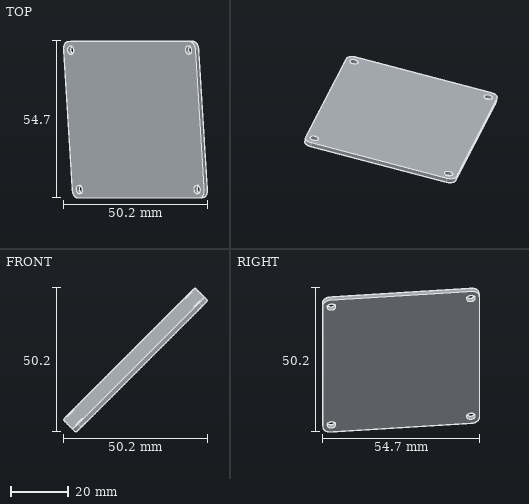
import cadquery as cq

width = 65.05
length = 54.8
thickness = 1.65
corner_radius = 2.75

hole_diameter = 2.95
hole_spacing_width = 58
hole_spacing_length = 48.8

slope_angle = 45
tilt_angle = 5


def make_plate():
    """Flat rounded plate centred on the origin, width along X."""
    plate = cq.Workplane("XY").box(width, length, thickness)
    return plate.edges("|Z").fillet(corner_radius)


def drill_corner_holes(plate):
    """Through hole near each corner."""
    return (
        plate.faces(">Z")
        .workplane()
        .rect(hole_spacing_width, hole_spacing_length, forConstruction=True)
        .vertices()
        .hole(hole_diameter)
    )


def orient(plate):
    """Tilt the plate about its width, then raise its +X end."""
    tilted = plate.rotate((0, 0, 0), (1, 0, 0), tilt_angle)
    return tilted.rotate((0, 0, 0), (0, 1, 0), -slope_angle)


result = orient(drill_corner_holes(make_plate()))